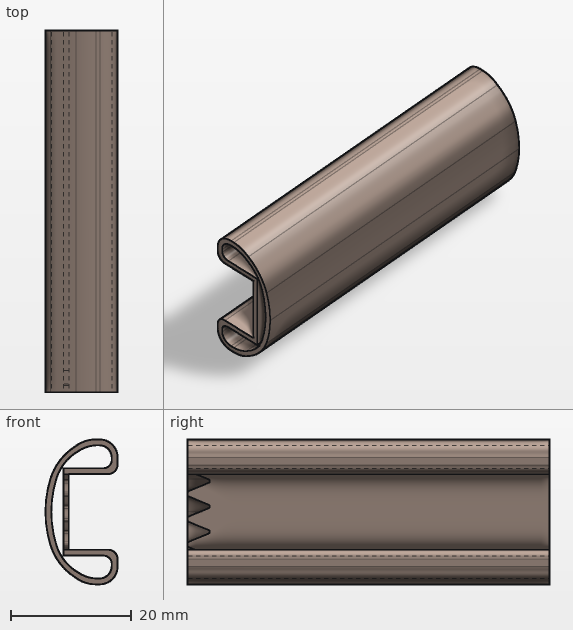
import cadquery as cq
import math

length = 60.0
width = 12.0
half_height = 12.03
wall = 1.0

flange_start = 3.0
flange_inner = 6.25
flange_outer = flange_inner + wall
web_thickness = 0.9

tooth_pitch = 4.2
tooth_depth = 4.2
tooth_tip_height = 0.7
tooth_count = 3
first_tip_height = 3.0
tooth_rounding = 0.3

nose_radius = 3.0
inner_nose_radius = nose_radius - wall
nose_x = width - nose_radius
nose_z = half_height - nose_radius
diagonal = math.sqrt(0.5)

back_joint = (0.85, 5.5)
shoulder_joint = (5.05, 10.9)
crown = (8.4, half_height)
nose_top = (width, nose_z)
nose_bottom = (width, 7.8)
flange_joint = (10.4, flange_inner)
back_middle = (0.21, 2.75)
shoulder_middle = (2.4, 8.5)
crown_middle = (6.65, 11.75)
flange_bend_middle = (11.5, 6.7)

inner_back_joint = (1.85, 5.5)
inner_shoulder_joint = (5.5, 10.1)
inner_crown = (8.4, half_height - wall)
inner_nose_top = (width - wall, nose_z)
inner_nose_bottom = (width - wall, 8.4)
inner_flange_joint = (9.6, flange_outer)
inner_flange_bend_middle = (10.55, 7.6)
inner_crown_middle = (6.9, 10.75)
inner_shoulder_middle = (3.35, 8.3)
inner_back_middle = (1.23, 2.75)


def nose_middle(radius):
    """Point halfway round a nose arc of the given radius."""
    return (nose_x + radius * diagonal, nose_z + radius * diagonal)


def half_clip():
    """Upper half of the rolled strip, from the mid-plane to the flange end."""
    return (
        cq.Workplane("XZ")
        .moveTo(0, 0)
        .threePointArc(back_middle, back_joint)
        .threePointArc(shoulder_middle, shoulder_joint)
        .threePointArc(crown_middle, crown)
        .lineTo(nose_x, half_height)
        .threePointArc(nose_middle(nose_radius), nose_top)
        .lineTo(*nose_bottom)
        .threePointArc(flange_bend_middle, flange_joint)
        .lineTo(flange_start, flange_inner)
        .lineTo(flange_start, flange_outer)
        .lineTo(*inner_flange_joint)
        .threePointArc(inner_flange_bend_middle, inner_nose_bottom)
        .lineTo(*inner_nose_top)
        .threePointArc(nose_middle(inner_nose_radius), (nose_x, half_height - wall))
        .lineTo(*inner_crown)
        .threePointArc(inner_crown_middle, inner_shoulder_joint)
        .threePointArc(inner_shoulder_middle, inner_back_joint)
        .threePointArc(inner_back_middle, (wall, 0))
        .close()
        .extrude(-length)
    )


def toothed_web():
    """Flat web between the flanges with teeth pointing to the front."""
    tip_heights = [first_tip_height - i * tooth_pitch for i in range(-1, tooth_count + 1)]
    outline = [(length, tip_heights[0])]
    for tip in tip_heights:
        outline.append((0, tip + tooth_tip_height / 2))
        outline.append((0, tip - tooth_tip_height / 2))
        outline.append((tooth_depth, tip - tooth_pitch / 2))
    outline.append((length, tip_heights[-1] - tooth_pitch / 2))
    web = (
        cq.Workplane("YZ", origin=(flange_start, 0, 0))
        .polyline(outline)
        .close()
        .extrude(web_thickness)
    )
    toothed_zone = cq.selectors.BoxSelector(
        (0, -0.6, -flange_inner),
        (width, tooth_depth + 0.6, flange_inner),
    )
    web = web.edges("|X").edges(toothed_zone).fillet(tooth_rounding)
    opening = cq.Workplane("XY").box(2 * width, 2 * length, 2 * flange_inner)
    return web.intersect(opening)


upper_half = half_clip()
lower_half = upper_half.mirror("XY")
result = upper_half.union(lower_half).union(toothed_web())